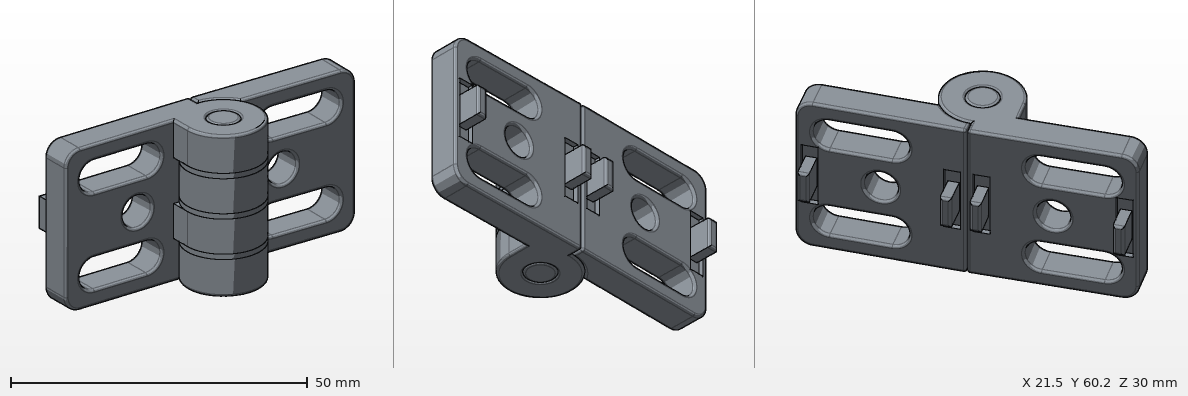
import cadquery as cq

PLATE_THICKNESS = 6
LEAF_LENGTH = 30
HINGE_HEIGHT = 30
CORNER_RADIUS = 3
EDGE_FILLET = 0.5
OPENING_ANGLE = 1

AXIS_X = 10
KNUCKLE_RADIUS = 7.5
PIN_DIAMETER = 6
PIN_END_FILLET = 0.5
PIN_HOLE_FILLET = 0.3
END_KNUCKLE_HEIGHT = 7
INNER_KNUCKLE_HEIGHT = 6.5
WASHER_THICKNESS = 1

HOLE_DIAMETER = 6
HOLE_Y = -15
SLOT_WIDTH = 6
SLOT_LENGTH = 17
SLOT_Y = -18.5
SLOT_Z = 9

TAB_WIDTH = 2
TAB_HEIGHT = 6
TAB_REACH = 4
TAB_FILLET = 0.5
RECESS_WIDTH = 3
RECESS_HEIGHT = 12
RECESS_DEPTH = 1
TAB_POSITIONS = (-2.5, -27.5)

HALF_HEIGHT = HINGE_HEIGHT / 2
END_KNUCKLE_BASE = HALF_HEIGHT - END_KNUCKLE_HEIGHT
INNER_KNUCKLE_TOP = -WASHER_THICKNESS / 2
INNER_KNUCKLE_BASE = INNER_KNUCKLE_TOP - INNER_KNUCKLE_HEIGHT
WASHER_PITCH = INNER_KNUCKLE_HEIGHT + WASHER_THICKNESS
TOLERANCE = 0.01


def layer(bottom, top):
    """Workplane at height `bottom`, with the height up to `top`."""
    return cq.Workplane("XY").workplane(offset=bottom), top - bottom


def barrel(bottom, top, radius):
    """Cylinder on the hinge axis."""
    plane, height = layer(bottom, top)
    return plane.center(AXIS_X, 0).circle(radius).extrude(height)


def knuckle(bottom, top):
    """Barrel section joined to the plate by a web tangent to its -Y side."""
    plane, height = layer(bottom, top)
    web = (
        plane.moveTo(PLATE_THICKNESS / 2, -KNUCKLE_RADIUS)
        .lineTo(AXIS_X, -KNUCKLE_RADIUS)
        .lineTo(AXIS_X, 0)
        .lineTo(PLATE_THICKNESS / 2, 0)
        .close()
        .extrude(height)
    )
    return web.union(barrel(bottom, top, KNUCKLE_RADIUS))


def leaf_blank():
    """Plate with its two knuckles and the clearances for the other leaf's knuckles."""
    plate = (
        cq.Workplane("XY")
        .box(PLATE_THICKNESS, LEAF_LENGTH, HINGE_HEIGHT)
        .translate((PLATE_THICKNESS / 2, -LEAF_LENGTH / 2, 0))
        .edges("|X and <Y")
        .fillet(CORNER_RADIUS)
    )
    blank = plate.cut(barrel(-HALF_HEIGHT, HALF_HEIGHT, KNUCKLE_RADIUS))
    blank = blank.union(knuckle(END_KNUCKLE_BASE, HALF_HEIGHT))
    return blank.union(knuckle(INNER_KNUCKLE_BASE, INNER_KNUCKLE_TOP)).clean()


def round_outer_edges(blank):
    """Round the mounting face, both end outlines and the outer rim of the back face."""
    back_rim = cq.selectors.BoxSelector(
        (PLATE_THICKNESS - TOLERANCE, -LEAF_LENGTH - TOLERANCE, -HINGE_HEIGHT),
        (PLATE_THICKNESS + TOLERANCE, -LEAF_LENGTH + CORNER_RADIUS, HINGE_HEIGHT),
    )
    rims = blank.faces("<X or <Z or >Z").edges()
    return rims.add(blank.edges(back_rim)).fillet(EDGE_FILLET)


def through_holes():
    """Centre hole and the two slots, as cutting bodies along X."""
    face = cq.Workplane("YZ")
    hole = face.center(HOLE_Y, 0).circle(HOLE_DIAMETER / 2).extrude(PLATE_THICKNESS)
    slots = (
        face.pushPoints([(SLOT_Y, SLOT_Z), (SLOT_Y, -SLOT_Z)])
        .slot2D(SLOT_LENGTH, SLOT_WIDTH)
        .extrude(PLATE_THICKNESS)
    )
    return hole.add(slots).combine()


def hole_rims(face_x):
    """Selector for the edges of the holes and slots on the plate face at `face_x`."""
    slot_end = abs(SLOT_Y) + SLOT_LENGTH / 2
    slot_start = abs(SLOT_Y) - SLOT_LENGTH / 2
    slot_side = SLOT_Z + SLOT_WIDTH / 2
    return cq.selectors.BoxSelector(
        (face_x - TOLERANCE, -slot_end, -slot_side - TOLERANCE),
        (face_x + TOLERANCE, -slot_start, slot_side + TOLERANCE),
    )


def cut_mounting_holes(leaf):
    """Cut the holes and round their rims on both faces of the plate."""
    leaf = leaf.cut(through_holes())
    rims = leaf.edges(hole_rims(0)).add(leaf.edges(hole_rims(PLATE_THICKNESS)))
    return rims.fillet(EDGE_FILLET)


def cut_pin_hole(leaf):
    """Bore the knuckles and round the mouth of the bore at the leaf's end."""
    leaf = leaf.cut(barrel(-HALF_HEIGHT, HALF_HEIGHT, PIN_DIAMETER / 2))
    mouth = cq.selectors.RadiusNthSelector(0)
    return leaf.faces(">Z").edges("%CIRCLE").edges(mouth).fillet(PIN_HOLE_FILLET)


def add_tabs(leaf):
    """Sink each recess and stand its tab on the recess floor."""
    floor = cq.Workplane("YZ").workplane(offset=RECESS_DEPTH)
    places = [(y, 0) for y in TAB_POSITIONS]
    recesses = floor.pushPoints(places).rect(RECESS_WIDTH, RECESS_HEIGHT).extrude(-RECESS_DEPTH)
    tabs = (
        floor.pushPoints(places)
        .rect(TAB_WIDTH, TAB_HEIGHT)
        .extrude(-RECESS_DEPTH - TAB_REACH)
        .faces("<X")
        .edges()
        .fillet(TAB_FILLET)
    )
    return leaf.cut(recesses).union(tabs)


def hinge_leaf():
    """One leaf, running toward -Y from the hinge axis."""
    leaf = round_outer_edges(leaf_blank())
    leaf = cut_mounting_holes(leaf)
    leaf = cut_pin_hole(leaf)
    return add_tabs(leaf)


def opposite_leaf():
    """The same leaf turned over about X, and swung slightly about the hinge axis."""
    turned = hinge_leaf().rotate((0, 0, 0), (1, 0, 0), 180)
    return turned.rotate((AXIS_X, 0, 0), (AXIS_X, 0, 1), -OPENING_ANGLE)


def hinge_pin():
    """Pin through the whole barrel, rounded at both ends."""
    pin = barrel(-HALF_HEIGHT, HALF_HEIGHT, PIN_DIAMETER / 2)
    return pin.faces("|Z").edges().fillet(PIN_END_FILLET)


def washer(centre_z):
    """Spacer between two neighbouring knuckles."""
    bottom = centre_z - WASHER_THICKNESS / 2
    top = centre_z + WASHER_THICKNESS / 2
    return barrel(bottom, top, KNUCKLE_RADIUS).cut(barrel(bottom, top, PIN_DIAMETER / 2))


fixed_leaf = hinge_leaf()
moving_leaf = opposite_leaf()
pin = hinge_pin()
washers = [washer(i * WASHER_PITCH) for i in (-1, 0, 1)]

result = cq.Compound.makeCompound(
    [fixed_leaf.val(), moving_leaf.val(), pin.val(), *[ring.val() for ring in washers]]
)